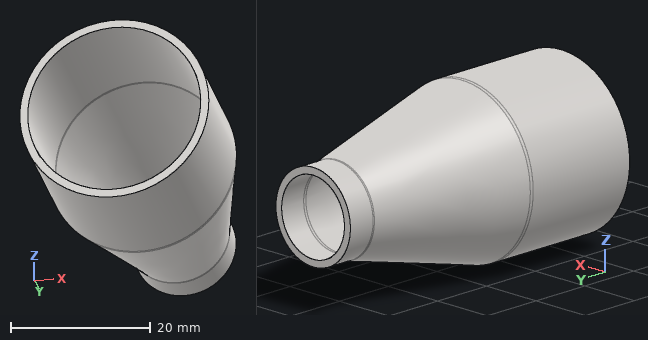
import cadquery as cq

length = 50.8
wide_outer_dia = 27.8
wide_bore_dia = 25.4
narrow_outer_dia = 15.1
narrow_bore_dia = 12.7
wide_length = 20.05
narrow_length = 4.8
wall = (wide_outer_dia - wide_bore_dia) / 2
bend_inside_radius = 1.0
bend_outside_radius = bend_inside_radius + wall

wide_end = -length / 2
narrow_end = length / 2
cone_start = wide_end + wide_length
cone_end = narrow_end - narrow_length


def stepped_cone(wide_dia, narrow_dia):
    """Solid of revolution: wide cylinder, cone, narrow cylinder."""
    return (
        cq.Workplane("XY")
        .moveTo(0, wide_end)
        .lineTo(wide_dia / 2, wide_end)
        .lineTo(wide_dia / 2, cone_start)
        .lineTo(narrow_dia / 2, cone_end)
        .lineTo(narrow_dia / 2, narrow_end)
        .lineTo(0, narrow_end)
        .close()
        .revolve(360, (0, 0, 0), (0, 1, 0))
    )


def cone_corner(y):
    """Box selector around the circular edge at position y along the axis."""
    reach = wide_outer_dia
    margin = 0.5
    return cq.selectors.BoxSelector(
        (-reach, y - margin, -reach), (reach, y + margin, reach)
    )


def sleeve_body(wide_dia, narrow_dia, wide_blend, narrow_blend):
    """Stepped cone with both of its bends rounded."""
    body = stepped_cone(wide_dia, narrow_dia)
    body = body.edges(cone_corner(cone_start)).fillet(wide_blend)
    return body.edges(cone_corner(cone_end)).fillet(narrow_blend)


outer = sleeve_body(
    wide_outer_dia, narrow_outer_dia, bend_outside_radius, bend_inside_radius
)

bore = sleeve_body(
    wide_bore_dia, narrow_bore_dia, bend_inside_radius, bend_outside_radius
)
result = outer.cut(bore)